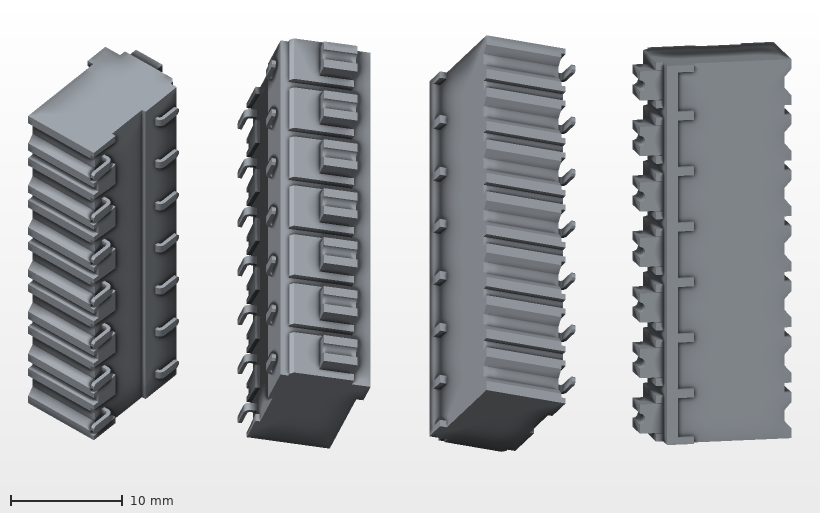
import cadquery as cq


LENGTH = 34.68
MODULES = 7
MODULE_WIDTH = 4.2
PITCH = (LENGTH - MODULE_WIDTH) / (MODULES - 1)
GAP = PITCH - MODULE_WIDTH
FIRST_MODULE = -PITCH * (MODULES - 1) / 2
FIRST_GAP = FIRST_MODULE + PITCH / 2
module_centers = [FIRST_MODULE + i * PITCH for i in range(MODULES)]
gap_centers = [FIRST_GAP + i * PITCH for i in range(MODULES - 1)]

FLANGE = 0.65
CREST_LEFT = 1.75
CREST_RIGHT = 7.63
RECESS_FLOOR = 7.95
BODY_RIGHT = 8.35
PIN_RIGHT = 9.0

BODY_FRONT = 0.75
NOTCH_START = 3.78
NOTCH_END = 7.95
FLANGE_FOOT = 9.8
FLANGE_WEB = 11.3
SHOULDER = 12.28
CREST = 12.95
CREST_CHAMFER = 0.35
ACTUATOR_TOP = 14.4

GROOVE_DEPTH = 0.62
GROOVE_OPENING = 2.4
GROOVE_FLOOR = 1.0
PIN_RECESS_OPENING = 3.15
PIN_RECESS_INNER = 2.75

FOOT_WIDTH = 0.75
END_FOOT_WIDTH = 0.62

ACTUATOR_LEFT = 1.8
ACTUATOR_LENGTH = 3.12
ACTUATOR_WIDTH = 2.67
ACTUATOR_CLEARANCE = 0.07
DRIVER_NOTCH_WIDTH = 1.0
DRIVER_NOTCH_DEPTH = 0.5

PIN_THICKNESS = 0.35
PIN_WIDTH = 0.75
PIN_BEND_RADIUS = 0.6
PIN_TIP_CHAMFER = 0.2
LOWER_PIN_BEND = 2.08
UPPER_PIN_BEND = 9.85
UPPER_PIN_TIP = 11.8


def block(x_min, x_max, y_min, y_max, height, z_center=0.0):
    """Box between X and Y limits, centred on z_center."""
    size_x = x_max - x_min
    size_y = y_max - y_min
    center = (x_min + size_x / 2, y_min + size_y / 2, z_center)
    return cq.Workplane("XY").box(size_x, size_y, height).translate(center)


def housing_blank():
    """Profile of the housing extruded over the full row."""
    outline = [
        (FLANGE, BODY_FRONT),
        (BODY_RIGHT, BODY_FRONT),
        (BODY_RIGHT, NOTCH_START),
        (RECESS_FLOOR, NOTCH_START),
        (RECESS_FLOOR, NOTCH_END),
        (BODY_RIGHT, NOTCH_END),
        (BODY_RIGHT, SHOULDER),
        (CREST_RIGHT, SHOULDER),
        (CREST_RIGHT, CREST - CREST_CHAMFER),
        (CREST_RIGHT - CREST_CHAMFER, CREST),
        (CREST_LEFT, CREST),
        (CREST_LEFT, SHOULDER),
        (0, SHOULDER),
        (0, FLANGE_FOOT),
        (FLANGE, FLANGE_FOOT),
    ]
    return cq.Workplane("XY").polyline(outline).close().extrude(LENGTH / 2, both=True)


def flange_windows():
    """Openings that leave a web with feet along the flange edge."""
    strip = block(0, FLANGE, FLANGE_FOOT, FLANGE_WEB, LENGTH - 2 * END_FOOT_WIDTH)
    for z in gap_centers:
        strip = strip.cut(block(0, FLANGE, FLANGE_FOOT, FLANGE_WEB, FOOT_WIDTH, z))
    return strip


def module_gap(z):
    """Slots that separate two modules on the front face and on the crest."""
    front_slot = block(0, BODY_RIGHT, BODY_FRONT, BODY_FRONT + GROOVE_DEPTH, GAP, z)
    crest_slot = block(0, BODY_RIGHT, SHOULDER, CREST, GAP, z)
    return front_slot.union(crest_slot)


def front_groove(z):
    """Tapered groove along X in the front face of one module."""
    floor_y = BODY_FRONT + GROOVE_DEPTH
    section = [
        (BODY_FRONT, z - GROOVE_OPENING / 2),
        (floor_y, z - GROOVE_FLOOR / 2),
        (floor_y, z + GROOVE_FLOOR / 2),
        (BODY_FRONT, z + GROOVE_OPENING / 2),
    ]
    return cq.Workplane("YZ").polyline(section).close().extrude(BODY_RIGHT)


def pin_recess(z):
    """Pocket in the pin side around the lower pin, narrowing from the front to the notch."""
    section = [
        (BODY_FRONT, z - PIN_RECESS_OPENING / 2),
        (NOTCH_START, z - PIN_RECESS_INNER / 2),
        (NOTCH_START, z + PIN_RECESS_INNER / 2),
        (BODY_FRONT, z + PIN_RECESS_OPENING / 2),
    ]
    return (
        cq.Workplane("YZ", origin=(RECESS_FLOOR, 0, 0))
        .polyline(section)
        .close()
        .extrude(BODY_RIGHT - RECESS_FLOOR)
    )


def actuator_slot(z):
    """Slot in the crest that the actuator stands in."""
    slot_right = ACTUATOR_LEFT + ACTUATOR_LENGTH
    slot_width = ACTUATOR_WIDTH + 2 * ACTUATOR_CLEARANCE
    return block(CREST_LEFT, slot_right, SHOULDER, CREST, slot_width, z)


def actuator(z):
    """Push block with a rounded screwdriver notch across its top."""
    actuator_right = ACTUATOR_LEFT + ACTUATOR_LENGTH
    body = block(ACTUATOR_LEFT, actuator_right, SHOULDER, ACTUATOR_TOP, ACTUATOR_WIDTH, z)
    notch = (
        cq.Workplane("YZ")
        .moveTo(ACTUATOR_TOP, z - DRIVER_NOTCH_WIDTH / 2)
        .threePointArc(
            (ACTUATOR_TOP - DRIVER_NOTCH_DEPTH, z),
            (ACTUATOR_TOP, z + DRIVER_NOTCH_WIDTH / 2),
        )
        .close()
        .extrude(BODY_RIGHT)
    )
    return body.cut(notch)


def pin(z, bend_y, tip_y):
    """Flat pin leaving the housing along X and bent along Y towards tip_y."""
    direction = 1 if tip_y > bend_y else -1
    leg_outer_y = bend_y - direction * PIN_BEND_RADIUS
    leg_inner_y = leg_outer_y + direction * PIN_THICKNESS
    inner_radius = PIN_BEND_RADIUS - PIN_THICKNESS
    bend_x = PIN_RIGHT - PIN_BEND_RADIUS
    root_x = RECESS_FLOOR - PIN_THICKNESS
    return (
        cq.Workplane("XY", origin=(0, 0, z))
        .moveTo(root_x, leg_outer_y)
        .lineTo(bend_x, leg_outer_y)
        .radiusArc((PIN_RIGHT, bend_y), -direction * PIN_BEND_RADIUS)
        .lineTo(PIN_RIGHT, tip_y)
        .lineTo(PIN_RIGHT - PIN_THICKNESS, tip_y)
        .lineTo(PIN_RIGHT - PIN_THICKNESS, bend_y)
        .radiusArc((bend_x, leg_inner_y), direction * inner_radius)
        .lineTo(root_x, leg_inner_y)
        .close()
        .extrude(PIN_WIDTH / 2, both=True)
        .faces(">Y" if direction > 0 else "<Y")
        .edges("|X")
        .chamfer(PIN_TIP_CHAMFER)
    )


result = housing_blank().cut(flange_windows())

for z in gap_centers:
    result = result.cut(module_gap(z))

for z in module_centers:
    result = result.cut(front_groove(z)).cut(pin_recess(z)).cut(actuator_slot(z))
    result = result.union(actuator(z))
    result = result.union(pin(z, LOWER_PIN_BEND, 0))
    result = result.union(pin(z, UPPER_PIN_BEND, UPPER_PIN_TIP))